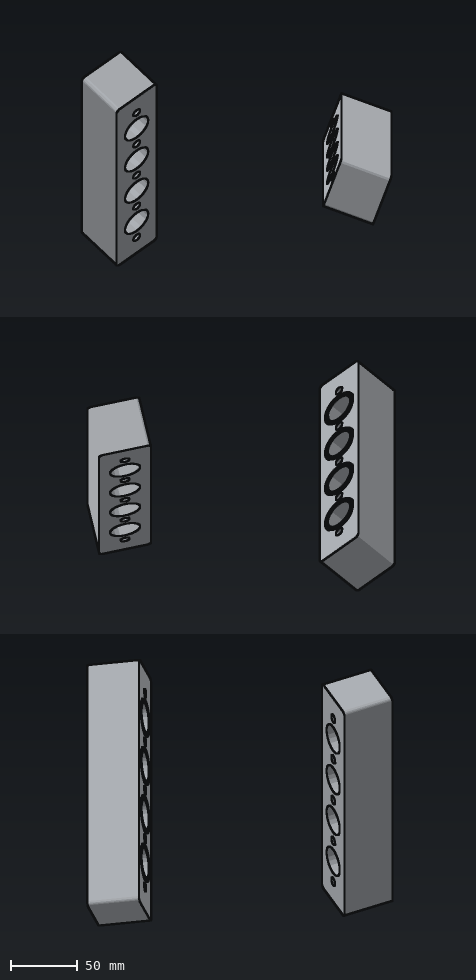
import cadquery as cq

width = 40.0
length = 200.0
edge_radius = 3.5

bore_pitch = 40.0
bore_count = 4
bore_diameter = 23.0
small_hole_diameter = 6.5

groove_outer_diameter = 29.0
groove_inner_diameter = 25.0
groove_depth = 1.5


def row(count):
    """Places for a row of evenly spaced features centred on the block, as (y, z)."""
    return [(0, (i - (count - 1) / 2) * bore_pitch) for i in range(count)]


def bore_entry_plane():
    """Plane on the -X face whose normal points into the block."""
    return cq.Workplane("YZ", origin=(-width / 2, 0, 0))


block = cq.Workplane("XY").box(width, width, length).edges("|X").fillet(edge_radius)

bores = bore_entry_plane().pushPoints(row(bore_count)).circle(bore_diameter / 2).extrude(width)
small_holes = (
    bore_entry_plane()
    .pushPoints(row(bore_count + 1))
    .circle(small_hole_diameter / 2)
    .extrude(width)
)

grooves = (
    bore_entry_plane()
    .pushPoints(row(bore_count))
    .circle(groove_outer_diameter / 2)
    .circle(groove_inner_diameter / 2)
    .extrude(groove_depth)
)

result = block.cut(bores).cut(small_holes).cut(grooves)